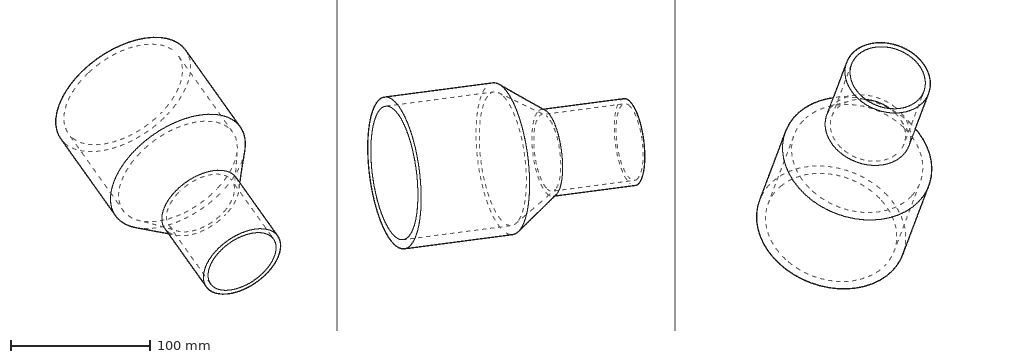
import cadquery as cq

total_length = 180.0
large_length = 83.0
cone_length = 34.0
cone_end = large_length + cone_length

large_outer_radius = 110.0 / 2
large_bore_radius = 96.7 / 2
small_outer_radius = 63.0 / 2
small_bore_radius = 55.5 / 2


def stepped_cone_solid(large_radius, small_radius):
    """Solid of revolution: large cylinder, cone, small cylinder."""
    return (
        cq.Workplane("XY")
        .polyline([
            (0, 0),
            (0, large_radius),
            (large_length, large_radius),
            (cone_end, small_radius),
            (total_length, small_radius),
            (total_length, 0),
        ])
        .close()
        .revolve(360, (0, 0, 0), (1, 0, 0))
    )


outer_body = stepped_cone_solid(large_outer_radius, small_outer_radius)
bore = stepped_cone_solid(large_bore_radius, small_bore_radius)
result = outer_body.cut(bore)